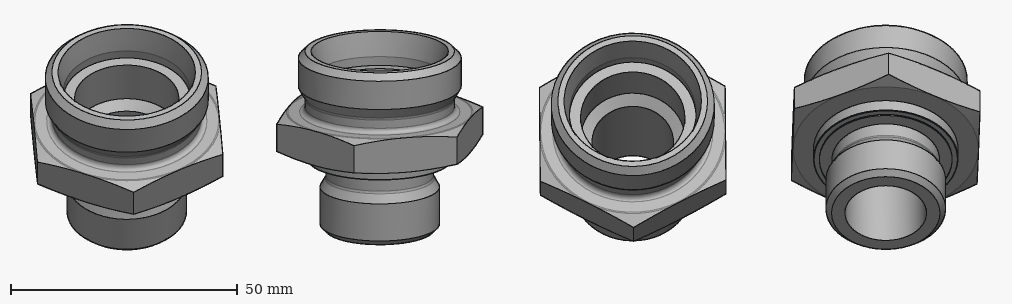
import cadquery as cq
import math

height = 41.0
corner_diameter = 47.35

stud_diameter = 26.4
stud_tip_diameter = 23.9
stud_top = 9.8
neck_diameter = 23.8

collar_diameter = 31.9
collar_bottom = 16.1
collar_edge_chamfer = 0.15
seal_diameter = 29.3
seal_bottom = 15.75
seal_thickness = 2.0

hex_bottom = 19.05
hex_top = 27.05
hex_face_diameter = 40.9
hex_chamfer_angle = 15.0

socket_diameter = 36.0
groove_diameter = 33.0
socket_bottom = 33.0
root_fillet = 1.2
runout_angle = 30.0

mouth_diameter = 30.3
seat_diameter = 28.0
seat_depth = 7.5
seat_cone_angle = 12.0
upper_bore_diameter = 23.0
upper_bore_bottom = 23.9
lower_bore_diameter = 18.0
bore_cone_angle = 59.0


def cone_length(large_diameter, small_diameter, angle):
    """Axial length of a cone between two diameters; angle is from the axis."""
    return (large_diameter - small_diameter) / 2 / math.tan(math.radians(angle))


def cylinder(diameter, bottom, top):
    return cq.Workplane("XY").workplane(offset=bottom).circle(diameter / 2).extrude(top - bottom)


def revolve_profile(points):
    """Solid of revolution about Z from (diameter, z) points running along its outside."""
    outline = [(0, points[0][1])]
    outline += [(diameter / 2, z) for diameter, z in points]
    outline += [(0, points[-1][1])]
    return cq.Workplane("XZ").polyline(outline).close().revolve(360, (0, 0), (0, 1))


def fillet_at(body, diameter, z):
    """Round the circular edge of the given diameter at height z."""
    reach = diameter / 2 + root_fillet
    slack = 0.005
    box = cq.selectors.BoxSelector((-reach, -reach, z - slack), (reach, reach, z + slack))
    return body.edges(box).edges("%CIRCLE").fillet(root_fillet)


def make_stud():
    tip_chamfer = (stud_diameter - stud_tip_diameter) / 2
    neck_bottom = stud_top + cone_length(stud_diameter, neck_diameter, runout_angle)
    stud = revolve_profile([
        (stud_tip_diameter, 0),
        (stud_diameter, tip_chamfer),
        (stud_diameter, stud_top),
        (neck_diameter, neck_bottom),
        (neck_diameter, hex_bottom),
    ])
    return fillet_at(stud, neck_diameter, neck_bottom)


def make_collar():
    collar = cylinder(collar_diameter, collar_bottom, hex_bottom)
    return collar.faces("<Z").edges().chamfer(collar_edge_chamfer)


def make_hexagon():
    prism = (
        cq.Workplane("XY").workplane(offset=hex_bottom)
        .polygon(6, corner_diameter).extrude(hex_top - hex_bottom)
        .rotate((0, 0, 0), (0, 0, 1), 30)
    )
    drop = (corner_diameter - hex_face_diameter) / 2 * math.tan(math.radians(hex_chamfer_angle))
    chamfered_disc = revolve_profile([
        (hex_face_diameter, hex_bottom),
        (corner_diameter, hex_bottom + drop),
        (corner_diameter, hex_top - drop),
        (hex_face_diameter, hex_top),
    ])
    return prism.intersect(chamfered_disc)


def make_socket():
    rim_chamfer = (socket_diameter - groove_diameter) / 2
    groove_top = socket_bottom - cone_length(socket_diameter, groove_diameter, runout_angle)
    socket = revolve_profile([
        (groove_diameter, hex_top),
        (groove_diameter, groove_top),
        (socket_diameter, socket_bottom),
        (socket_diameter, height - rim_chamfer),
        (groove_diameter, height),
    ])
    return fillet_at(socket, groove_diameter, groove_top)


def make_bore():
    seat_floor = height - seat_depth
    mouth_cone_bottom = height - cone_length(mouth_diameter, seat_diameter, seat_cone_angle)
    step_bottom = upper_bore_bottom - cone_length(upper_bore_diameter, lower_bore_diameter, bore_cone_angle)
    return revolve_profile([
        (lower_bore_diameter, 0),
        (lower_bore_diameter, step_bottom),
        (upper_bore_diameter, upper_bore_bottom),
        (upper_bore_diameter, seat_floor),
        (seat_diameter, seat_floor),
        (seat_diameter, mouth_cone_bottom),
        (mouth_diameter, height),
    ])


def make_seal_ring():
    ring = cylinder(seal_diameter, seal_bottom, seal_bottom + seal_thickness)
    return ring.cut(cylinder(neck_diameter, seal_bottom, seal_bottom + seal_thickness))


def make_fitting(seal_ring):
    body = make_stud().union(make_collar()).union(make_hexagon()).union(make_socket())
    body = fillet_at(body, groove_diameter, hex_top)
    return body.cut(make_bore()).cut(seal_ring)


seal_ring = make_seal_ring()
fitting = make_fitting(seal_ring)

result = cq.Compound.makeCompound([fitting.val(), seal_ring.val()])